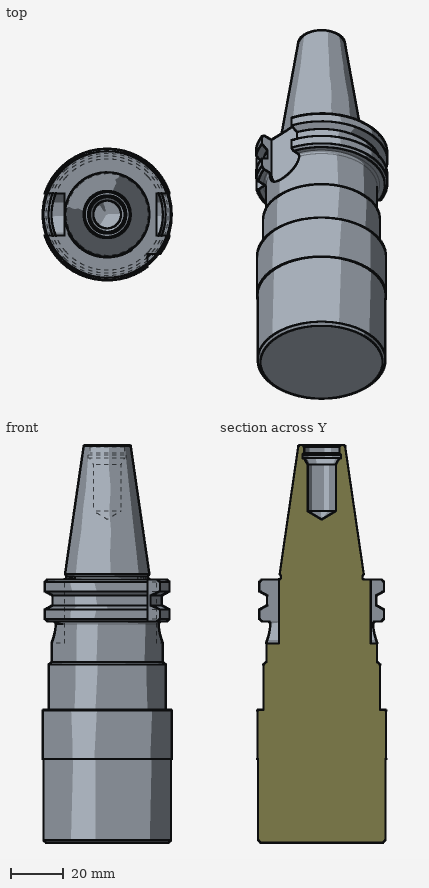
import cadquery as cq
import math


GAUGE_RADIUS = 31.75 / 2
TAPER_SLOPE = 3.5 / 24
TAPER_TOP = 47.8
TAPER_BASE = -1.0
TIP_CHAMFER = 0.4
RELIEF_DEPTH = 0.4
RELIEF_TOP = -2.0
RELIEF_FILLET = 0.8

FLANGE_RADIUS = 25.0
FLANGE_TOP = -3.1
FLANGE_BOTTOM = -19.1
FLANGE_CHAMFER = 1.0
GROOVE_CENTRE = -11.1
GROOVE_MOUTH = 6.9
GROOVE_RADIUS = 22.25
GROOVE_FLANK_ANGLE = 30.0

NECK_RADIUS = 21.1
NECK_FILLET = 0.9
COLLAR_RADIUS = 22.2
COLLAR_TOP = -34.4
COLLAR_CHAMFER = 1.0
NUT_RADIUS = 24.5
NUT_TOP = -52.5
NUT_TOP_CHAMFER = 0.4
SLEEVE_RADIUS = 24.25
SLEEVE_TOP = -71.2
SLEEVE_BOTTOM = -103.0
SLEEVE_CHAMFER = 1.1

SLOT_WIDTH = 16.1
SLOT_ARC_CENTRE = -19.2
SLOT_FLOOR_NEG_X = -16.2
SLOT_FLOOR_POS_X = 18.6

NOTCH_X = 15.2
NOTCH_Y = -15.0

MOUTH_RADIUS = 7.25
PILOT_RADIUS = 6.6
MOUTH_CHAMFER_DEPTH = 0.7
PILOT_DEPTH = 5.0
PILOT_GROOVE_TOP = 3.1
PILOT_GROOVE_SIZE = 0.6
SEAT_ANGLE = 30.0
THREAD_RADIUS = 5.25
THREAD_DEPTH = 25.0
DRILL_POINT_ANGLE = 118.0


def taper_radius(height):
    return GAUGE_RADIUS - TAPER_SLOPE * height


def revolve_profile(outline):
    return outline.close().revolve(360, (0, 0, 0), (0, 1, 0))


def make_body():
    flank_height = (FLANGE_RADIUS - GROOVE_RADIUS) * math.tan(math.radians(GROOVE_FLANK_ANGLE))
    mouth_half = GROOVE_MOUTH / 2
    floor_half = mouth_half - flank_height
    relief_radius = GAUGE_RADIUS - RELIEF_DEPTH
    rim_radius = FLANGE_RADIUS - FLANGE_CHAMFER
    outline = (
        cq.Workplane("XZ")
        .moveTo(0, TAPER_TOP)
        .lineTo(taper_radius(TAPER_TOP) - TIP_CHAMFER, TAPER_TOP)
        .lineTo(taper_radius(TAPER_TOP - TIP_CHAMFER), TAPER_TOP - TIP_CHAMFER)
        .lineTo(taper_radius(TAPER_BASE), TAPER_BASE)
        .lineTo(relief_radius, RELIEF_TOP)
        .lineTo(relief_radius, FLANGE_TOP + RELIEF_FILLET)
        .radiusArc((relief_radius + RELIEF_FILLET, FLANGE_TOP), -RELIEF_FILLET)
        .lineTo(rim_radius, FLANGE_TOP)
        .lineTo(FLANGE_RADIUS, FLANGE_TOP - FLANGE_CHAMFER)
        .lineTo(FLANGE_RADIUS, GROOVE_CENTRE + mouth_half)
        .lineTo(GROOVE_RADIUS, GROOVE_CENTRE + floor_half)
        .lineTo(GROOVE_RADIUS, GROOVE_CENTRE - floor_half)
        .lineTo(FLANGE_RADIUS, GROOVE_CENTRE - mouth_half)
        .lineTo(FLANGE_RADIUS, FLANGE_BOTTOM + FLANGE_CHAMFER)
        .lineTo(rim_radius, FLANGE_BOTTOM)
        .lineTo(NECK_RADIUS + NECK_FILLET, FLANGE_BOTTOM)
        .radiusArc((NECK_RADIUS, FLANGE_BOTTOM - NECK_FILLET), -NECK_FILLET)
        .lineTo(NECK_RADIUS, COLLAR_TOP)
        .lineTo(COLLAR_RADIUS, COLLAR_TOP - COLLAR_CHAMFER)
        .lineTo(COLLAR_RADIUS, NUT_TOP)
        .lineTo(NUT_RADIUS - NUT_TOP_CHAMFER, NUT_TOP)
        .lineTo(NUT_RADIUS, NUT_TOP - NUT_TOP_CHAMFER)
        .lineTo(NUT_RADIUS, SLEEVE_TOP)
        .lineTo(SLEEVE_RADIUS, SLEEVE_TOP)
        .lineTo(SLEEVE_RADIUS, SLEEVE_BOTTOM + SLEEVE_CHAMFER)
        .lineTo(SLEEVE_RADIUS - SLEEVE_CHAMFER, SLEEVE_BOTTOM)
        .lineTo(0, SLEEVE_BOTTOM)
    )
    return revolve_profile(outline)


def make_pull_stud_bore():
    seat_depth = (PILOT_RADIUS - THREAD_RADIUS) / math.tan(math.radians(SEAT_ANGLE))
    point_depth = THREAD_RADIUS / math.tan(math.radians(DRILL_POINT_ANGLE / 2))
    outline = (
        cq.Workplane("XZ")
        .moveTo(0, TAPER_TOP)
        .lineTo(MOUTH_RADIUS, TAPER_TOP)
        .lineTo(PILOT_RADIUS, TAPER_TOP - MOUTH_CHAMFER_DEPTH)
        .lineTo(PILOT_RADIUS, TAPER_TOP - PILOT_GROOVE_TOP)
        .lineTo(PILOT_RADIUS + PILOT_GROOVE_SIZE, TAPER_TOP - PILOT_GROOVE_TOP - PILOT_GROOVE_SIZE)
        .lineTo(PILOT_RADIUS + PILOT_GROOVE_SIZE, TAPER_TOP - PILOT_DEPTH)
        .lineTo(PILOT_RADIUS, TAPER_TOP - PILOT_DEPTH)
        .lineTo(THREAD_RADIUS, TAPER_TOP - PILOT_DEPTH - seat_depth)
        .lineTo(THREAD_RADIUS, TAPER_TOP - THREAD_DEPTH)
        .lineTo(0, TAPER_TOP - THREAD_DEPTH - point_depth)
    )
    return revolve_profile(outline)


def make_drive_slot(floor_x, direction):
    """U-shaped slot open at the flange top, cut outward from the flat floor at floor_x."""
    half_width = SLOT_WIDTH / 2
    return (
        cq.Workplane("YZ", origin=(floor_x, 0, 0))
        .moveTo(-half_width, FLANGE_TOP)
        .lineTo(-half_width, SLOT_ARC_CENTRE)
        .threePointArc((0, SLOT_ARC_CENTRE - half_width), (half_width, SLOT_ARC_CENTRE))
        .lineTo(half_width, FLANGE_TOP)
        .close()
        .extrude(direction * FLANGE_RADIUS)
    )


def make_corner_notch():
    return (
        cq.Workplane("XY", origin=(NOTCH_X, NOTCH_Y, FLANGE_BOTTOM))
        .rect(FLANGE_RADIUS, -FLANGE_RADIUS, centered=False)
        .extrude(FLANGE_TOP - FLANGE_BOTTOM)
    )


result = (
    make_body()
    .cut(make_pull_stud_bore())
    .cut(make_drive_slot(SLOT_FLOOR_NEG_X, -1))
    .cut(make_drive_slot(SLOT_FLOOR_POS_X, 1))
    .cut(make_corner_notch())
)